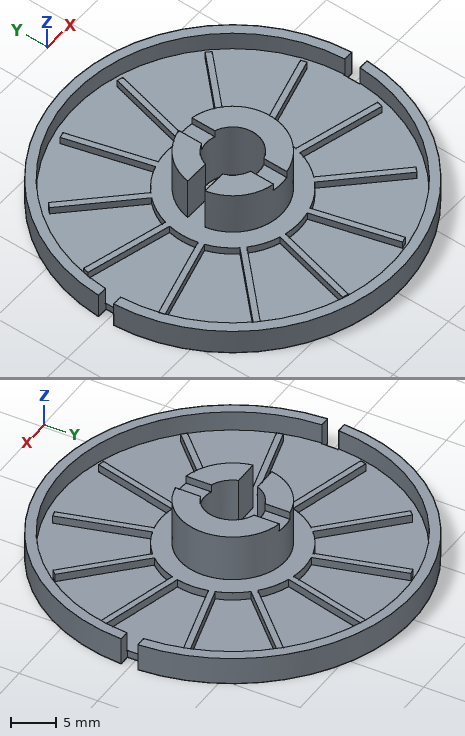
import cadquery as cq

outer_diameter = 45.9
rim_inner_diameter = 43.35
rim_height = 3.5
floor_thickness = 0.95

rim_gap_width = 2.1
rim_gap_start = 21.55

flange_diameter = 18.15
flange_height = 1.97
hub_diameter = 13.4
hub_height = 7.9
bore_diameter = 7.2

hub_slot_width = 2.4
notch_depth = 0.95

rib_count = 12
rib_width = 0.8
rib_end_radius = 20.43
rib_spacing = 360 / rib_count
first_rib_angle = rib_spacing / 2


def disc(diameter, height):
    return cq.Workplane("XY").circle(diameter / 2).extrude(height)


def block(x_start, x_end, width, z_start, z_end):
    """Box centred on the X axis in Y, between the given X and Z limits."""
    return (
        cq.Workplane("XY", origin=((x_start + x_end) / 2, 0, z_start))
        .rect(x_end - x_start, width)
        .extrude(z_end - z_start)
    )


def make_dish():
    recess = disc(rim_inner_diameter, rim_height).translate((0, 0, floor_thickness))
    dish = disc(outer_diameter, rim_height).cut(recess)
    gap = block(rim_gap_start, outer_diameter / 2, rim_gap_width, 0, rim_height)
    return dish.cut(gap).cut(gap.mirror("YZ"))


def make_hub():
    hub = disc(hub_diameter, hub_height)
    split = block(-hub_diameter / 2, 0, hub_slot_width, flange_height, hub_height)
    notch = block(
        -hub_diameter / 2, hub_diameter / 2, hub_slot_width, hub_height - notch_depth, hub_height
    ).rotate((0, 0, 0), (0, 0, 1), 90)
    return hub.cut(split).cut(notch)


def make_rib(angle):
    rib = block(0, rib_end_radius, rib_width, 0, flange_height)
    return rib.rotate((0, 0, 0), (0, 0, 1), angle)


result = make_dish().union(disc(flange_diameter, flange_height)).union(make_hub())
for index in range(rib_count):
    result = result.union(make_rib(first_rib_angle + index * rib_spacing))

result = result.cut(disc(bore_diameter, hub_height))